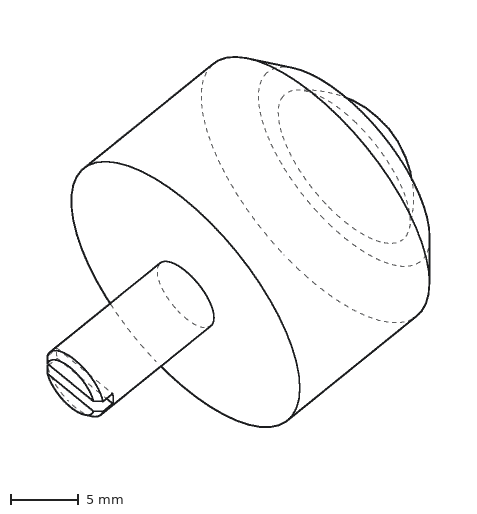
import cadquery as cq

total_length = 32.5
body_radius = 12.0
body_length = 16.5
body_chamfer = 3.0
stud_length = 12.0
stud_radius = 3.0
stud_chamfer = 0.5
slot_width = 1.27
slot_depth = 1.5
ball_radius = 8.0

ball_protrusion = total_length - stud_length - body_length
ball_center_y = body_length + ball_protrusion - ball_radius


def cylinder_along_y(radius, start_y, length):
    """Solid cylinder on the Y axis, extending toward +Y from start_y."""
    return cq.Workplane("XZ", origin=(0, start_y, 0)).circle(radius).extrude(-length)


body = cylinder_along_y(body_radius, 0, body_length).faces(">Y").chamfer(body_chamfer)

ball = cq.Workplane("XY").sphere(ball_radius).translate((0, ball_center_y, 0))

stud = cylinder_along_y(stud_radius, -stud_length, stud_length).faces("<Y").chamfer(stud_chamfer)
slot = cq.Workplane("XY").box(
    2 * stud_radius, 2 * slot_depth, slot_width
).translate((0, -stud_length, 0))

result = body.union(ball).union(stud.cut(slot))